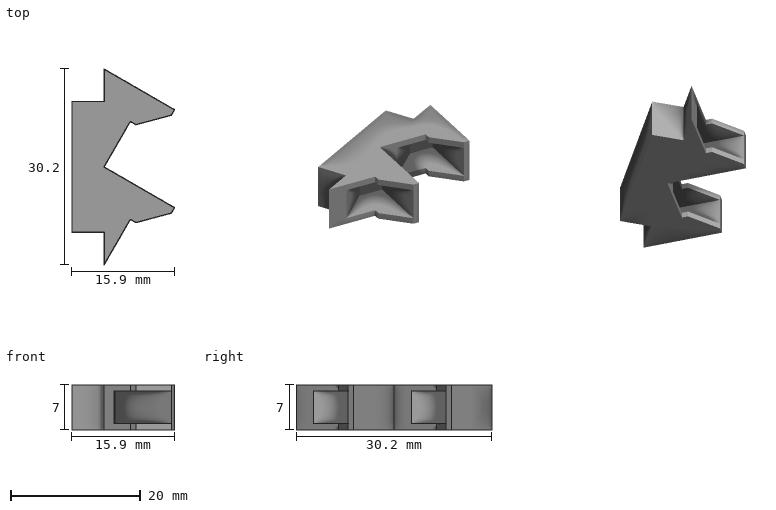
import cadquery as cq
import math

tooth_count = 2
tooth_pitch = 15.11
part_height = 7.0
bar_depth = 5.0
bar_end_inset = 5.0
flank_angle = 30.0
overhang = 5.0
tip_thickness = 1.0
nose_thickness = 5.0
lip_length = 1.0
slot_width = 5.0
slot_depth = 5.0
slot_mouth_end = 10.0

flank = math.radians(flank_angle)
row_length = tooth_count * tooth_pitch
face_length = tooth_pitch * math.cos(flank)
face_offset = tooth_pitch * math.sin(flank)
nose_end = face_offset + overhang
slot_base = (part_height - slot_width) / 2


def tooth_point(apex_y, along, below):
    """XY point reached from a tooth apex: along its long edge, then square to it."""
    x = bar_depth + along * math.cos(flank) - below * math.sin(flank)
    y = apex_y - along * math.sin(flank) - below * math.cos(flank)
    return (x, y)


def make_prism(points, base, height):
    return cq.Workplane("XY").workplane(offset=base).polyline(points).close().extrude(height)


def make_bar():
    length = row_length - 2 * bar_end_inset
    bar = cq.Workplane("XY").box(bar_depth, length, part_height, centered=False)
    return bar.translate((0, bar_end_inset, 0))


def make_tooth(apex_y):
    """Right-angled triangular tooth with a tapered nose beyond its face."""
    outline = [
        tooth_point(apex_y, 0, 0),
        tooth_point(apex_y, nose_end, 0),
        tooth_point(apex_y, nose_end, tip_thickness),
        tooth_point(apex_y, face_offset + lip_length, nose_thickness),
        tooth_point(apex_y, face_offset, nose_thickness),
        tooth_point(apex_y, face_offset, face_length),
    ]
    return make_prism(outline, 0, part_height)


def make_slot(apex_y):
    """Slot under the nose, running from the nose tip into the tooth.

    Its lower side slopes at 45 degrees to the tooth face, from the end of the mouth
    to the end wall, which keeps the slot closed towards the end of the bar.
    """
    slot_end = face_offset - slot_depth
    slope_end = slot_mouth_end - slot_depth
    outline = [
        tooth_point(apex_y, slot_end, tip_thickness),
        tooth_point(apex_y, nose_end, tip_thickness),
        tooth_point(apex_y, nose_end, slot_mouth_end),
        tooth_point(apex_y, face_offset, slot_mouth_end),
        tooth_point(apex_y, slot_end, slope_end),
    ]
    return make_prism(outline, slot_base, slot_width)


apex_positions = [(index + 1) * tooth_pitch for index in range(tooth_count)]

result = make_bar()
for apex_y in apex_positions:
    result = result.union(make_tooth(apex_y))
for apex_y in apex_positions:
    result = result.cut(make_slot(apex_y))